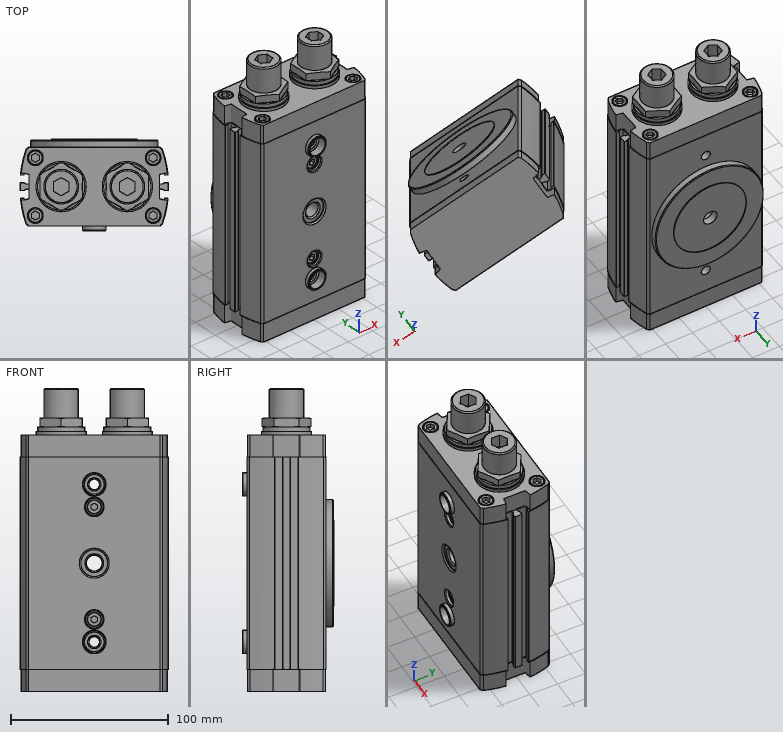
import cadquery as cq
import math


body_depth = 50.2
half_depth = body_depth / 2
body_height = 163.0
cap_height = 14.0
profile_height = body_height - 2 * cap_height
body_top = body_height / 2
profile_top = profile_height / 2

rail_half_width = 46.995
lip_half_width = 46.9
flat_half_width = 41.8
shoulder_half_width = 43.4
shoulder_y = 23.6
lip_y = 7.3
lip_thickness = 2.4
slot_y = 8.6
slot_floor_x = 41.0
rail_head_y = 2.6
rail_neck_y = 1.7
rail_head_thickness = 2.4
rail_taper_length = 1.2
rail_root_depth = 1.0
edge_bevel = 0.3
side_bulge = 0.4
beyond_x = rail_half_width + 3

cap_inset = 0.45
cap_face_inset = 0.25
cap_slot_mouth_y = 8.8
cap_slot_floor_y = 7.7
cap_slot_floor_x = 41.5
cap_slot_fillet = 0.5

screw_x = 37.4
screw_y = 18.35
screw_recess_diameter = 10.0
screw_head_diameter = 8.57
screw_gap_depth = 1.5
screw_hex = 5.0
screw_hex_depth = 3.0

sleeve_z = 50.0
sleeve_diameter = 15.0
sleeve_bore = 12.4
sleeve_projection = 3.0
sleeve_bore_depth = 6.0
sleeve_chamfer = 0.5
thread_diameter = 6.65
thread_chamfer_diameter = 8.5

plug_z = 35.7
plug_recess_diameter = 11.0
plug_countersink_diameter = 12.4
plug_recess_depth = 2.5
plug_hex = 4.0
plug_hex_depth = 3.0
plug_bore_diameter = 9.0
plug_rim_diameter = 8.5
plug_gap_depth = 0.8

centre_pocket_diameter = 17.0
centre_pocket_countersink = 19.0
centre_pocket_depth = 1.6
shaft_bore = 10.0
shaft_bore_countersink = 12.0

flange_diameter = 81.0
flange_thickness = 4.6
flange_chamfer = 0.6
spigot_diameter = 54.2
spigot_height = 0.6

stop_x = 21.0
stop_height = 29.5
washer_diameter = 31.9
washer_thickness = 2.2
collar_diameter = 30.0
collar_thickness = 2.7
nut_width = 27.0
nut_height = 5.8
nut_flat_end_diameter = 26.5
nut_chamfer_height = 0.35
stud_diameter = 22.0
stud_chamfer = 0.9
stop_hex = 10.0
stop_hex_depth = 10.0


def hex_corner_diameter(width):
    """Diameter across the corners of a hexagon with the given width across flats."""
    return width / math.cos(math.pi / 6)


def hex_prism(width, height, base_z):
    """Hexagonal prism along Z with its corners pointing along Y."""
    prism = cq.Workplane("XY").polygon(6, hex_corner_diameter(width)).extrude(height)
    return prism.rotate((0, 0, 0), (0, 0, 1), 90).translate((0, 0, base_z))


def y_cylinder(diameter, start_y, end_y, z=0.0):
    """Cylinder along Y at X = 0."""
    disc = cq.Workplane("XZ", origin=(0, start_y, z)).circle(diameter / 2)
    return disc.extrude(start_y - end_y)


def y_countersink(outer_diameter, inner_diameter, start_y, z):
    """45 degree cone along +Y, narrowing from the outer to the inner diameter."""
    depth = (outer_diameter - inner_diameter) / 2
    cone = cq.Solid.makeCone(
        outer_diameter / 2, inner_diameter / 2, depth, cq.Vector(0, start_y, z), cq.Vector(0, 1, 0)
    )
    return cq.Workplane(obj=cone)


def body_block(inset, face_inset, base_z, height):
    """Solid bar with flat faces front and back, bevelled corners and bulged sides."""
    flat_x = flat_half_width
    face_y = half_depth - face_inset
    shoulder_x = shoulder_half_width - inset / 2
    corner_y = shoulder_y - inset
    side_x = lip_half_width + side_bulge - inset
    return (
        cq.Workplane("XY", origin=(0, 0, base_z))
        .moveTo(-flat_x, -face_y)
        .lineTo(flat_x, -face_y)
        .lineTo(shoulder_x, -corner_y)
        .threePointArc((side_x, 0), (shoulder_x, corner_y))
        .lineTo(flat_x, face_y)
        .lineTo(-flat_x, face_y)
        .lineTo(-shoulder_x, corner_y)
        .threePointArc((-side_x, 0), (-shoulder_x, -corner_y))
        .close()
        .extrude(height)
    )


def on_both_sides(half_outline, base_z, height):
    """Bars from an outline given by its +Y half on the +X side, mirrored about both axes."""
    mirrored_half = [(x, -y) for x, y in reversed(half_outline)]
    bar = cq.Workplane("XY", origin=(0, 0, base_z))
    bar = bar.polyline(half_outline + mirrored_half).close().extrude(height)
    return bar, bar.mirror("YZ")


def make_profile():
    """Middle part of the housing: two undercut grooves on each side leave a T-shaped rail."""
    lip_inner_x = lip_half_width - lip_thickness
    head_inner_x = rail_half_width - rail_head_thickness
    groove = [
        (slot_floor_x, slot_y),
        (lip_inner_x, slot_y),
        (lip_inner_x, lip_y),
        (lip_half_width - edge_bevel, lip_y),
        (beyond_x, lip_y + edge_bevel + beyond_x - lip_half_width),
    ]
    rail = [
        (slot_floor_x - rail_root_depth, rail_neck_y),
        (head_inner_x - rail_taper_length, rail_neck_y),
        (head_inner_x, rail_head_y),
        (rail_half_width - edge_bevel, rail_head_y),
        (rail_half_width, rail_head_y - edge_bevel),
    ]
    profile = body_block(0, 0, -profile_top, profile_height)
    for side_groove in on_both_sides(groove, -profile_top, profile_height):
        profile = profile.cut(side_groove)
    for side_rail in on_both_sides(rail, -profile_top, profile_height):
        profile = profile.union(side_rail)
    return profile


def make_cap(base_z):
    """Slightly smaller end cap with one slot on each side, widening outwards from a rounded floor."""
    wall_slope = (cap_slot_mouth_y - cap_slot_floor_y) / (lip_half_width - cap_slot_floor_x)
    beyond_y = cap_slot_floor_y + wall_slope * (beyond_x - cap_slot_floor_x)
    slot = [(cap_slot_floor_x, cap_slot_floor_y), (beyond_x, beyond_y)]
    cap = body_block(cap_inset, cap_face_inset, base_z, cap_height)
    for side_slot in on_both_sides(slot, base_z, cap_height):
        cap = cap.cut(side_slot.edges("|Z").fillet(cap_slot_fillet))
    return cap


def cut_cap_screws(housing):
    """Flush socket screws in the top cap, each inside a ring-shaped gap."""
    for x in (-screw_x, screw_x):
        for y in (-screw_y, screw_y):
            gap = (
                cq.Workplane("XY", origin=(x, y, body_top - screw_gap_depth))
                .circle(screw_recess_diameter / 2)
                .circle(screw_head_diameter / 2)
                .extrude(screw_gap_depth)
            )
            socket = hex_prism(screw_hex, screw_hex_depth, body_top - screw_hex_depth)
            housing = housing.cut(gap).cut(socket.translate((x, y, 0)))
    return housing


def add_sleeve(housing, z):
    """Projecting centring sleeve around a threaded through hole."""
    front_y = -half_depth - sleeve_projection
    floor_y = front_y + sleeve_bore_depth
    sleeve = y_cylinder(sleeve_diameter, front_y, -half_depth, z).faces("<Y").chamfer(sleeve_chamfer)
    housing = housing.union(sleeve)
    housing = housing.cut(y_cylinder(sleeve_bore, front_y, floor_y, z))
    housing = housing.cut(y_countersink(thread_chamfer_diameter, thread_diameter, floor_y, z))
    return housing.cut(y_cylinder(thread_diameter, front_y, half_depth, z))


def cut_plug(housing, z):
    """Countersunk recess whose floor is the rim of a hex socket plug."""
    floor_y = -half_depth + plug_recess_depth
    gap = y_cylinder(plug_bore_diameter, floor_y, floor_y + plug_gap_depth, z)
    gap = gap.cut(y_cylinder(plug_rim_diameter, floor_y, floor_y + plug_gap_depth, z))
    socket = hex_prism(plug_hex, plug_hex_depth, 0).rotate((0, 0, 0), (1, 0, 0), -90)
    housing = housing.cut(y_cylinder(plug_recess_diameter, -half_depth, floor_y, z))
    housing = housing.cut(y_countersink(plug_countersink_diameter, plug_recess_diameter, -half_depth, z))
    return housing.cut(gap).cut(socket.translate((0, floor_y, z)))


def cut_centre_hole(housing):
    """Countersunk pocket and countersunk shaft bore through the housing."""
    pocket_floor_y = -half_depth + centre_pocket_depth
    housing = housing.cut(y_cylinder(centre_pocket_diameter, -half_depth, pocket_floor_y))
    housing = housing.cut(y_countersink(centre_pocket_countersink, centre_pocket_diameter, -half_depth, 0))
    housing = housing.cut(y_countersink(shaft_bore_countersink, shaft_bore, pocket_floor_y, 0))
    return housing.cut(y_cylinder(shaft_bore, -half_depth, half_depth))


def make_housing():
    """Profile and two caps joined, with the screws, sleeves, plugs and centre hole."""
    housing = make_profile().union(make_cap(profile_top)).union(make_cap(-body_top))
    housing = cut_cap_screws(housing)
    for side in (-1, 1):
        housing = add_sleeve(housing, side * sleeve_z)
        housing = cut_plug(housing, side * plug_z)
    return cut_centre_hole(housing)


def make_flange():
    """Disc with a low spigot, lying on the +Y face of the housing."""
    disc_y = half_depth + flange_thickness
    spigot_y = disc_y + spigot_height
    disc = y_cylinder(flange_diameter, half_depth, disc_y).faces(">Y").chamfer(flange_chamfer)
    flange = disc.union(y_cylinder(spigot_diameter, disc_y, spigot_y))
    return flange.cut(y_cylinder(shaft_bore, half_depth, spigot_y))


def make_nut(base_z):
    """Hexagon nut with chamfered corners at both ends."""
    corner_radius = hex_corner_diameter(nut_width) / 2
    end_radius = nut_flat_end_diameter / 2
    envelope = (
        cq.Workplane("XZ")
        .polyline([
            (0, 0),
            (end_radius, 0),
            (corner_radius, nut_chamfer_height),
            (corner_radius, nut_height - nut_chamfer_height),
            (end_radius, nut_height),
            (0, nut_height),
        ])
        .close()
        .revolve(360, (0, 0, 0), (0, 1, 0))
        .translate((0, 0, base_z))
    )
    return hex_prism(nut_width, nut_height, base_z).intersect(envelope)


def make_end_stop(x):
    """Washer, collar, nut and socket stud, standing on the top cap."""
    stop_top = body_top + stop_height
    nut_base = body_top + washer_thickness + collar_thickness
    base = cq.Workplane("XY", origin=(0, 0, body_top))
    washer = base.circle(washer_diameter / 2).extrude(washer_thickness)
    collar = base.circle(collar_diameter / 2).extrude(washer_thickness + collar_thickness)
    stud = base.circle(stud_diameter / 2).extrude(stop_height).faces(">Z").chamfer(stud_chamfer)
    stop = stud.union(washer).union(collar).union(make_nut(nut_base))
    stop = stop.cut(hex_prism(stop_hex, stop_hex_depth, stop_top - stop_hex_depth))
    return stop.translate((x, 0, 0))


housing = make_housing()
flange = make_flange()
end_stops = [make_end_stop(x) for x in (-stop_x, stop_x)]

result = cq.Compound.makeCompound([housing.val(), flange.val(), *[stop.val() for stop in end_stops]])